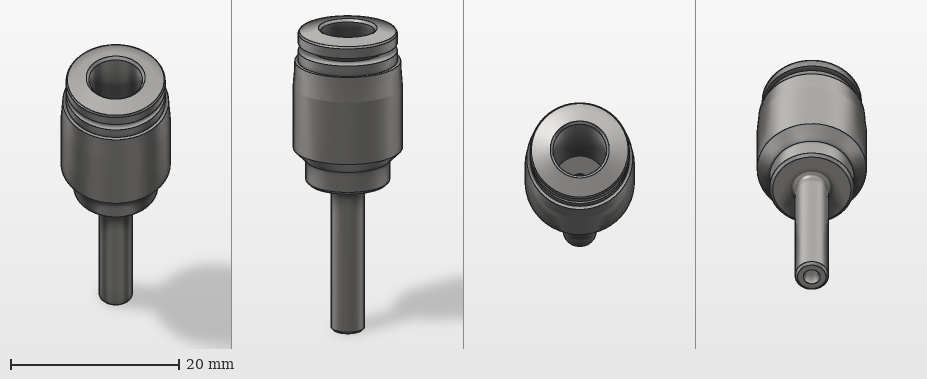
import cadquery as cq
import math

stem_diameter = 3.97
stem_bore_diameter = 2.0
stem_tip_chamfer = 0.3
stem_root_fillet = 1.0

hub_diameter = 10.0
hub_chamfer = 0.35
body_diameter = 13.0
shoulder_diameter = 12.6
collar_diameter = 11.8

neck_diameter = 8.35
neck_fillet = 0.35
button_diameter = 11.8
button_edge_chamfer_width = 0.15
button_edge_chamfer_height = 0.25
tube_bore_diameter = 6.35
tube_bore_lead_in = 0.325

hub_bottom = 18.5
hub_top = 21.35
body_bottom = hub_top + (body_diameter - hub_diameter) / 2
body_top = 30.6
shoulder_top = 33.7
collar_top = 35.0
button_bottom = 35.95
button_rim_top = 37.4
overall_height = 37.8
tube_bore_depth = 15.0


def fillet_midpoint(center_radius, center_height, fillet_radius):
    """Middle of a concave quarter arc facing the axis and upward."""
    offset = fillet_radius * math.sqrt(0.5)
    return (center_radius - offset, center_height + offset)


def make_body():
    """Revolve the outer half-profile, drawn as (radius, height), about Z."""
    stem_radius = stem_diameter / 2
    hub_radius = hub_diameter / 2
    body_radius = body_diameter / 2
    shoulder_radius = shoulder_diameter / 2
    collar_radius = collar_diameter / 2
    neck_radius = neck_diameter / 2
    button_radius = button_diameter / 2

    stem_fillet_center = (stem_radius + stem_root_fillet, hub_bottom - stem_root_fillet)
    neck_fillet_center = (neck_radius + neck_fillet, button_bottom - neck_fillet)
    mouth_radius = tube_bore_diameter / 2 + tube_bore_lead_in

    profile = (
        cq.Workplane("XZ")
        .moveTo(0, 0)
        .lineTo(stem_radius - stem_tip_chamfer, 0)
        .lineTo(stem_radius, stem_tip_chamfer)
        .lineTo(stem_radius, stem_fillet_center[1])
        .threePointArc(
            fillet_midpoint(*stem_fillet_center, stem_root_fillet),
            (stem_fillet_center[0], hub_bottom),
        )
        .lineTo(hub_radius - hub_chamfer, hub_bottom)
        .lineTo(hub_radius, hub_bottom + hub_chamfer)
        .lineTo(hub_radius, hub_top)
        .lineTo(body_radius, body_bottom)
        .lineTo(body_radius, body_top)
        .lineTo(shoulder_radius, shoulder_top)
        .lineTo(collar_radius, shoulder_top)
        .lineTo(collar_radius, collar_top)
        .lineTo(neck_radius, collar_top)
        .lineTo(neck_radius, neck_fillet_center[1])
        .threePointArc(
            fillet_midpoint(*neck_fillet_center, neck_fillet),
            (neck_fillet_center[0], button_bottom),
        )
        .lineTo(button_radius, button_bottom)
        .lineTo(button_radius, button_rim_top - button_edge_chamfer_height)
        .lineTo(button_radius - button_edge_chamfer_width, button_rim_top)
        .lineTo(mouth_radius, overall_height)
        .lineTo(0, overall_height)
        .close()
    )
    return profile.revolve(360, (0, 0, 0), (0, 1, 0))


def make_tube_bore():
    """Blind bore for the tube, widened by a 45 degree lead-in at its mouth."""
    bore_radius = tube_bore_diameter / 2
    bore_floor = overall_height - tube_bore_depth
    profile = (
        cq.Workplane("XZ")
        .moveTo(0, bore_floor)
        .lineTo(bore_radius, bore_floor)
        .lineTo(bore_radius, overall_height - tube_bore_lead_in)
        .lineTo(bore_radius + tube_bore_lead_in, overall_height)
        .lineTo(0, overall_height)
        .close()
    )
    return profile.revolve(360, (0, 0, 0), (0, 1, 0))


def make_stem_bore():
    """Through passage along the whole axis."""
    return cq.Workplane("XY").circle(stem_bore_diameter / 2).extrude(overall_height)


result = make_body().cut(make_tube_bore()).cut(make_stem_bore())